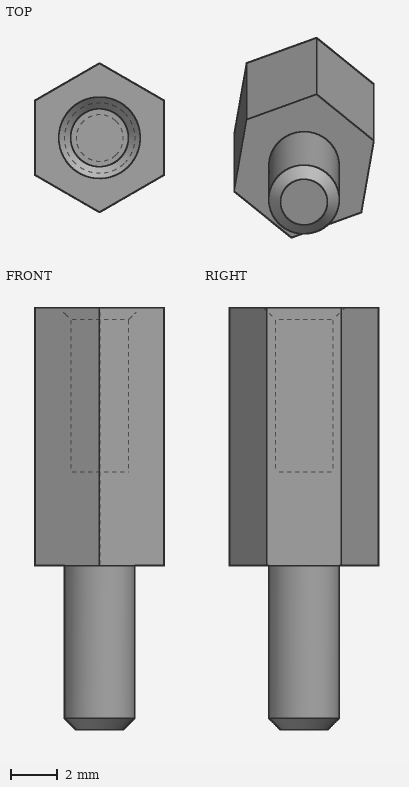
import cadquery as cq
import math

total_length = 18.0
stud_length = 7.0
across_flats = 5.5
stud_diameter = 3.0
tip_chamfer = 0.5
bore_diameter = 2.47
bore_depth = 7.0
countersink_diameter = 3.47

body_length = total_length - stud_length
across_corners = across_flats / math.cos(math.radians(30))
countersink_depth = (countersink_diameter - bore_diameter) / 2


def hex_body():
    """Hexagonal body on top of the z = 0 shoulder, with corners on the Y axis."""
    return (
        cq.Workplane("XY")
        .transformed(rotate=(0, 0, 90))
        .polygon(6, across_corners)
        .extrude(body_length)
    )


def stud():
    """Round stud below the shoulder, chamfered at its free end."""
    return (
        cq.Workplane("XY")
        .circle(stud_diameter / 2)
        .extrude(-stud_length)
        .faces("<Z")
        .chamfer(tip_chamfer)
    )


result = (
    hex_body()
    .union(stud())
    .faces(">Z")
    .workplane(centerOption="CenterOfBoundBox")
    .hole(bore_diameter, bore_depth)
    .faces(">Z")
    .edges("%CIRCLE")
    .chamfer(countersink_depth)
)